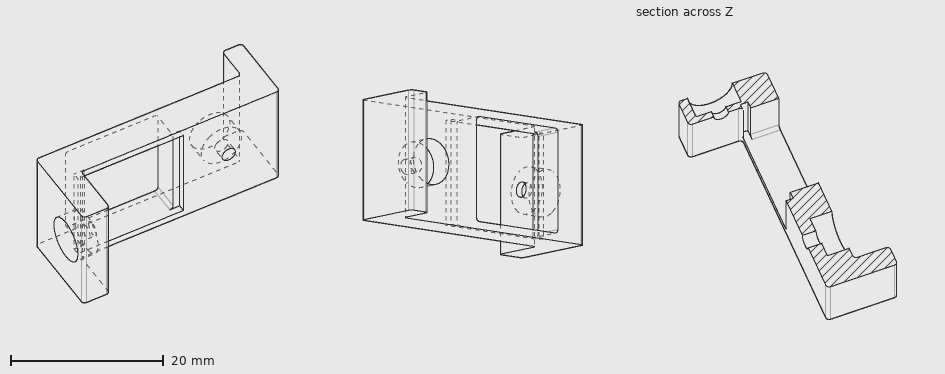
import cadquery as cq

length_x = 17.5
length_y = 34.0
height = 16.0

web_thickness = 5.0
rear_foot_reach = 5.0
rear_foot_thickness = 3.0
front_foot_thickness = 4.0
corner_radius = 0.5

screw_diameter = 2.0
front_head_diameter = 6.3
front_head_depth = 3.05
front_screw_x = 12.95
web_head_diameter = 6.1
web_head_depth = 3.05
web_screw_y = 26.28

window_side = 13.97
window_start_y = 4.5

recess_depth = 1.0
recess_overhang = 1.0

web_left = rear_foot_reach
web_right = web_left + web_thickness
mid_height = height / 2


def make_bracket():
    """Extruded Z profile with every upright edge rounded."""
    outline = [
        (web_left, 0),
        (length_x, 0),
        (length_x, front_foot_thickness),
        (web_right, front_foot_thickness),
        (web_right, length_y),
        (0, length_y),
        (0, length_y - rear_foot_thickness),
        (web_left, length_y - rear_foot_thickness),
    ]
    profile = cq.Workplane("XY").polyline(outline).close()
    return profile.extrude(height).edges("|Z").fillet(corner_radius)


def make_window():
    """Square cutter with rounded corners, running through the web along X."""
    from_corner = (False, False, True)
    window = cq.Workplane("XY").box(web_thickness, window_side, window_side, centered=from_corner)
    window = window.edges("|X").fillet(corner_radius)
    return window.translate((web_left, window_start_y, mid_height))


def make_window_recess():
    """Shallow square-cornered cutter, as tall as the window but longer along Y."""
    from_corner = (False, False, True)
    recess_length = window_side + 2 * recess_overhang
    recess = cq.Workplane("XY").box(recess_depth, recess_length, window_side, centered=from_corner)
    return recess.translate((web_right - recess_depth, window_start_y - recess_overhang, mid_height))


def make_screw_cutter(entry, direction, head_diameter, head_depth, wall_thickness):
    """Stepped cutter: a wide head recess, then a narrow hole through the wall."""
    head = cq.Solid.makeCylinder(head_diameter / 2, head_depth, entry, direction)
    shank = cq.Solid.makeCylinder(screw_diameter / 2, wall_thickness, entry, direction)
    return head.fuse(shank)


front_screw = make_screw_cutter(
    cq.Vector(front_screw_x, 0, mid_height),
    cq.Vector(0, 1, 0),
    front_head_diameter,
    front_head_depth,
    front_foot_thickness,
)
web_screw = make_screw_cutter(
    cq.Vector(web_left, web_screw_y, mid_height),
    cq.Vector(1, 0, 0),
    web_head_diameter,
    web_head_depth,
    web_thickness,
)

bracket = make_bracket().cut(make_window()).cut(make_window_recess())
result = bracket.cut(front_screw).cut(web_screw)